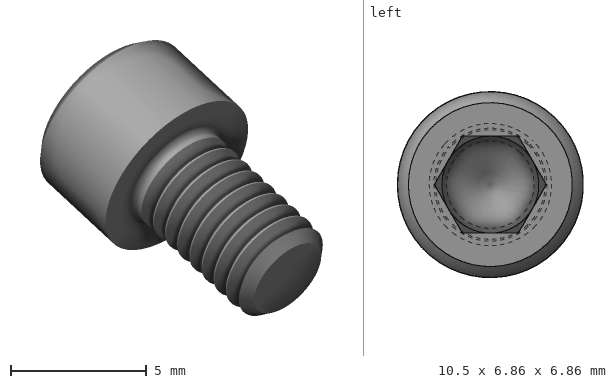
import cadquery as cq
import math

INCH = 25.4
nominal_diameter = 0.164 * INCH
head_diameter = 0.270 * INCH
head_height = nominal_diameter
head_chamfer = 0.41
shank_length = 0.25 * INCH

fillet_length = 0.29
fillet_height = 0.17
plain_shank_length = 0.46

groove_count = 8
groove_pitch = 0.6965
root_diameter = 3.23
crest_flat = 0.06
first_root_x = 0.785
tip_crest_diameter = 4.04
tip_chamfer_length = 0.39

socket_across_flats = 9 / 64 * INCH
socket_depth = 0.077 * INCH
socket_cone_angle = 120

head_radius = head_diameter / 2
shank_radius = nominal_diameter / 2
root_radius = root_diameter / 2


def make_body():
    """Revolve the head, the fillet, the plain shank and the thread about X."""
    arc_radius = (fillet_length**2 + fillet_height**2) / (2 * fillet_height)
    half_sweep = math.asin(fillet_length / arc_radius) / 2
    arc_middle = (
        fillet_length - arc_radius * math.sin(half_sweep),
        shank_radius + arc_radius * (1 - math.cos(half_sweep)),
    )

    profile = (
        cq.Workplane("XY")
        .moveTo(-head_height, 0)
        .lineTo(-head_height, head_radius - head_chamfer)
        .lineTo(-head_height + head_chamfer, head_radius)
        .lineTo(0, head_radius)
        .lineTo(0, shank_radius + fillet_height)
        .threePointArc(arc_middle, (fillet_length, shank_radius))
        .lineTo(plain_shank_length, shank_radius)
    )
    for groove in range(groove_count):
        root_x = first_root_x + groove * groove_pitch
        profile = profile.lineTo(root_x, root_radius)
        if groove < groove_count - 1:
            crest_x = root_x + groove_pitch / 2
            profile = profile.lineTo(crest_x - crest_flat / 2, shank_radius)
            profile = profile.lineTo(crest_x + crest_flat / 2, shank_radius)

    profile = (
        profile.lineTo(shank_length - tip_chamfer_length, tip_crest_diameter / 2)
        .lineTo(shank_length, root_radius)
        .lineTo(shank_length, 0)
        .close()
    )
    return profile.revolve(360, (0, 0, 0), (1, 0, 0))


def make_socket():
    """Hexagonal prism with corners along Y, ending in a cone as wide as its flats."""
    corner_diameter = socket_across_flats / math.cos(math.pi / 6)
    hexagon = (
        cq.Workplane("YZ", origin=(-head_height, 0, 0))
        .polygon(6, corner_diameter)
        .extrude(socket_depth)
    )
    cone_radius = socket_across_flats / 2
    cone_depth = cone_radius / math.tan(math.radians(socket_cone_angle / 2))
    floor_x = -head_height + socket_depth
    cone = (
        cq.Workplane("XY")
        .polyline([(floor_x, 0), (floor_x, cone_radius), (floor_x + cone_depth, 0)])
        .close()
        .revolve(360, (0, 0, 0), (1, 0, 0))
    )
    return hexagon.union(cone)


result = make_body().cut(make_socket())